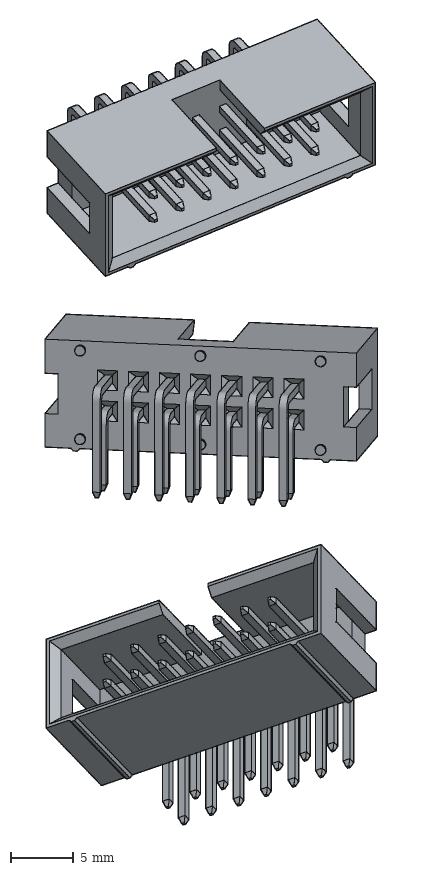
import cadquery as cq
import math


PITCH = 2.54
COLUMNS = 7
PIN_SIZE = 0.64
GRID_HEIGHT = 4.47

BODY_DEPTH = 8.9
BODY_LENGTH = 25.44
BODY_HEIGHT = 8.9
BASE_THICKNESS = 2.1
WALL = 1.05
LEAD_IN_DEPTH = 0.6
LEAD_IN_FLARE = 0.75

KEY_SLOT_WIDTH = 4.5
WINDOW_BOTTOM = 2.77
WINDOW_TOP = 6.08
WINDOW_FRONT = 6.45

POCKET_SIZE = 1.64
POCKET_DEPTH = (POCKET_SIZE - PIN_SIZE) / 2

PEG_DIAMETER = 0.85
PEG_HEIGHT = 0.25
PEG_ROW_OFFSET = 3.65
PEG_SPACING = 9.82

RIB_HEIGHT = 0.22
RIB_ROOT_WIDTH = 0.74
RIB_CREST_WIDTH = 0.3
RIB_OFFSET = 10.23

PIN_REACH = 4.65
PIN_DROP = 2.92
PIN_RECESS = 0.54
BEND_OUTER_RADIUS = 1.0
TIP_LENGTH = 0.52
TIP_WIDTH = 0.25

BODY_MID_HEIGHT = BODY_HEIGHT / 2
UPPER_ROW = GRID_HEIGHT + PITCH / 2
LOWER_ROW = GRID_HEIGHT - PITCH / 2
PIN_MATING_END = BODY_DEPTH - PIN_RECESS
UPPER_LEG = PIN_SIZE / 2 - PIN_REACH
COLUMN_POSITIONS = [(i - (COLUMNS - 1) / 2) * PITCH for i in range(COLUMNS)]


def box(x_range, y_range, z_range):
    """Axis-aligned block between the given limits."""
    (x0, x1), (y0, y1), (z0, z1) = x_range, y_range, z_range
    return cq.Workplane("XY").box(x1 - x0, y1 - y0, z1 - z0, centered=False).translate((x0, y0, z0))


def rear_plane(x, y, z):
    """Workplane normal to +X at the given point, with local axes along Y and Z."""
    return cq.Workplane(cq.Plane(origin=(x, y, z), xDir=(0, 1, 0), normal=(1, 0, 0)))


def make_cavity():
    """Mating cavity, open to the front, with a flared lead-in at its mouth."""
    width = BODY_LENGTH - 2 * WALL
    height = BODY_HEIGHT - 2 * WALL
    depth = BODY_DEPTH - BASE_THICKNESS
    cavity = rear_plane(BASE_THICKNESS, 0, BODY_MID_HEIGHT).rect(width, height).extrude(depth)
    flare = (
        rear_plane(BODY_DEPTH - LEAD_IN_DEPTH, 0, BODY_MID_HEIGHT)
        .rect(width, height)
        .workplane(offset=LEAD_IN_DEPTH)
        .rect(width + 2 * LEAD_IN_FLARE, height + 2 * LEAD_IN_FLARE)
        .loft(ruled=True)
    )
    return cavity.union(flare)


def make_key_slot():
    """Slot through the top wall, open to the front."""
    half_width = KEY_SLOT_WIDTH / 2
    return box((BASE_THICKNESS, BODY_DEPTH), (-half_width, half_width), (BODY_MID_HEIGHT, BODY_HEIGHT))


def make_end_window(side):
    """Latch window through one end wall, running out at the rear face."""
    outer = side * BODY_LENGTH / 2
    inner = outer - side * WALL
    return box((0, WINDOW_FRONT), sorted((inner, outer)), (WINDOW_BOTTOM, WINDOW_TOP))


def make_pocket(y, z):
    """Square pocket tapering at 45 degrees from the rear face down to the pin."""
    return (
        rear_plane(0, y, z)
        .rect(POCKET_SIZE, POCKET_SIZE)
        .workplane(offset=POCKET_DEPTH)
        .rect(PIN_SIZE, PIN_SIZE)
        .loft(ruled=True)
    )


def make_rib(y):
    """Trapezoidal rib along the whole depth of the underside."""
    root = RIB_ROOT_WIDTH / 2
    crest = RIB_CREST_WIDTH / 2
    profile = [(-root, 0), (-crest, -RIB_HEIGHT), (crest, -RIB_HEIGHT), (root, 0)]
    return rear_plane(0, y, 0).polyline(profile).close().extrude(BODY_DEPTH)


def make_pegs():
    """Short round standoffs in two rows of three on the rear face."""
    points = [
        (column * PEG_SPACING, z)
        for column in (-1, 0, 1)
        for z in (GRID_HEIGHT - PEG_ROW_OFFSET, GRID_HEIGHT + PEG_ROW_OFFSET)
    ]
    return rear_plane(0, 0, 0).pushPoints(points).circle(PEG_DIAMETER / 2).extrude(-PEG_HEIGHT)


def make_tip(plane):
    """Tapered pin end growing from the given plane."""
    return (
        cq.Workplane(plane)
        .rect(PIN_SIZE, PIN_SIZE)
        .workplane(offset=TIP_LENGTH)
        .rect(TIP_WIDTH, TIP_WIDTH)
        .loft(ruled=True)
    )


def make_pin(leg_x, row_z):
    """Square pin along X that bends down into a solder leg, centred on Y = 0."""
    half = PIN_SIZE / 2
    mating_shoulder = PIN_MATING_END - TIP_LENGTH
    solder_shoulder = -PIN_DROP + TIP_LENGTH
    outer = BEND_OUTER_RADIUS
    inner = outer - PIN_SIZE
    left = leg_x - half
    right = leg_x + half
    top = row_z + half
    bottom = row_z - half
    bend_x = left + outer
    bend_z = top - outer
    diagonal = math.sqrt(0.5)
    shaft = (
        cq.Workplane("XZ")
        .moveTo(left, solder_shoulder)
        .lineTo(left, bend_z)
        .threePointArc((bend_x - outer * diagonal, bend_z + outer * diagonal), (bend_x, top))
        .lineTo(mating_shoulder, top)
        .lineTo(mating_shoulder, bottom)
        .lineTo(bend_x, bottom)
        .threePointArc((bend_x - inner * diagonal, bend_z + inner * diagonal), (right, bend_z))
        .lineTo(right, solder_shoulder)
        .close()
        .extrude(half, both=True)
    )
    mating_plane = cq.Plane(origin=(mating_shoulder, 0, row_z), xDir=(0, 1, 0), normal=(1, 0, 0))
    solder_plane = cq.Plane(origin=(leg_x, 0, solder_shoulder), xDir=(1, 0, 0), normal=(0, 0, -1))
    return shaft.union(make_tip(mating_plane)).union(make_tip(solder_plane))


def make_shroud():
    """Insulating body with its openings, ribs and standoff pegs."""
    half_length = BODY_LENGTH / 2
    shroud = box((0, BODY_DEPTH), (-half_length, half_length), (0, BODY_HEIGHT))
    shroud = shroud.cut(make_cavity()).cut(make_key_slot())
    for side in (-1, 1):
        shroud = shroud.cut(make_end_window(side))
        shroud = shroud.union(make_rib(side * RIB_OFFSET))
    for y in COLUMN_POSITIONS:
        for z in (LOWER_ROW, UPPER_ROW):
            shroud = shroud.cut(make_pocket(y, z))
    return shroud.union(make_pegs())


result = make_shroud()
upper_pin = make_pin(UPPER_LEG, UPPER_ROW)
lower_pin = make_pin(UPPER_LEG + PITCH, LOWER_ROW)
for column_y in COLUMN_POSITIONS:
    for pin in (upper_pin, lower_pin):
        result = result.union(pin.translate((0, column_y, 0)))